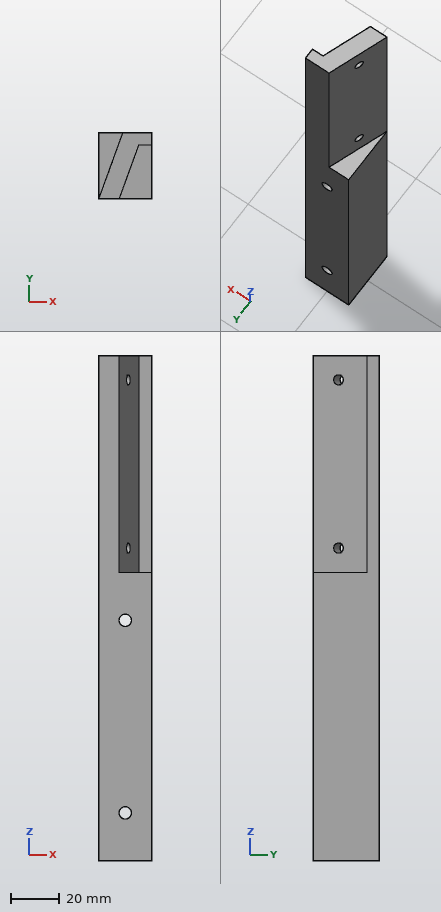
import cadquery as cq
import math

width = 22.0
depth = 27.5
height = 210.0

block_height = 120.0
wall_angle = 20.0
wall_thickness = 8.0
flange_thickness = 5.0

block_hole_diameter = 5.0
block_hole_heights = (20.0, 100.0)

wall_hole_diameter = 4.2
wall_hole_y = 13.2
wall_hole_heights = (130.0, 200.0)

angle = math.radians(wall_angle)
slope = math.tan(angle)
wall_front_width = wall_thickness / math.cos(angle)
flange_front = depth - flange_thickness


def make_block():
    return cq.Workplane("XY").box(width, depth, block_height, centered=False)


def make_wall():
    """Slanted wall with a flange along the back, from the base to full height."""
    outline = [
        (0, 0),
        (wall_front_width, 0),
        (wall_front_width + flange_front * slope, flange_front),
        (width, flange_front),
        (width, depth),
        (depth * slope, depth),
    ]
    return cq.Workplane("XY").polyline(outline).close().extrude(height)


def drill(start, direction, diameter, length):
    """Cylinder used to cut one hole."""
    return cq.Solid.makeCylinder(diameter / 2, length, cq.Vector(*start), cq.Vector(*direction))


result = make_block().union(make_wall())

for z in block_hole_heights:
    result = result.cut(drill((width / 2, 0, z), (0, 1, 0), block_hole_diameter, depth))

inward = (math.cos(angle), -math.sin(angle), 0)
drill_x = wall_hole_y * slope - wall_thickness * inward[0]
drill_y = wall_hole_y - wall_thickness * inward[1]
for z in wall_hole_heights:
    result = result.cut(drill((drill_x, drill_y, z), inward, wall_hole_diameter, 3 * wall_thickness))